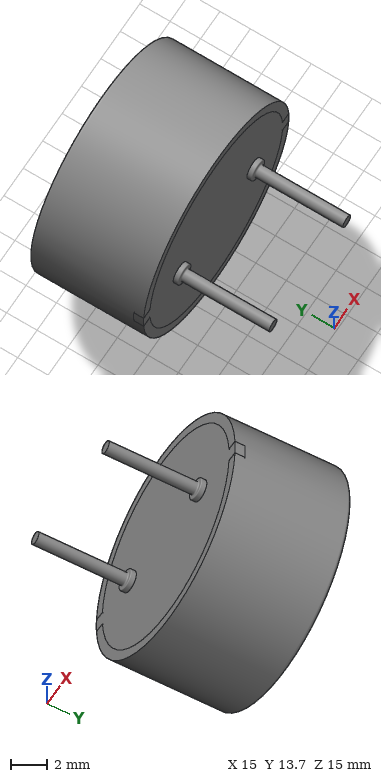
import cadquery as cq

housing_diameter = 15.0
housing_length = 7.5
rear_edge_radius = 0.2

plate_diameter = 13.7
plate_thickness = 0.65
tab_width = 1.0

pin_diameter = 0.8
pin_length = 6.15
pin_pitch = 7.6
collar_diameter = 1.35
collar_height = 0.35
collar_edge_radius = 0.05
lead_root_radius = 0.075


def make_base_plate():
    """Disc with a tab on each side, trimmed to the housing's outer cylinder."""
    disc = cq.Workplane("XZ").circle(plate_diameter / 2).extrude(-plate_thickness)
    housing_slice = cq.Workplane("XZ").circle(housing_diameter / 2).extrude(-plate_thickness)
    tab_bar = cq.Workplane("XZ").rect(housing_diameter, tab_width).extrude(-plate_thickness)
    return disc.union(tab_bar.intersect(housing_slice))


def make_housing(base_plate):
    """Cylinder with a rounded rear edge and a seat matching the base plate."""
    can = cq.Workplane("XZ").circle(housing_diameter / 2).extrude(-housing_length)
    can = can.faces(">Y").edges().fillet(rear_edge_radius)
    return can.cut(base_plate)


def make_pin(x_position):
    """Lead and collar turned together, pointing toward -Y, with a filleted lead root."""
    collar = cq.Workplane("XZ").circle(collar_diameter / 2).extrude(collar_height)
    collar = collar.edges().fillet(collar_edge_radius)
    lead = cq.Workplane("XZ").circle(pin_diameter / 2).extrude(pin_length)
    pin = collar.union(lead)

    root_y = -collar_height
    lead_radius = pin_diameter / 2
    root_fillet = (
        cq.Workplane("XY")
        .moveTo(0, root_y)
        .lineTo(lead_radius + lead_root_radius, root_y)
        .radiusArc((lead_radius, root_y - lead_root_radius), -lead_root_radius)
        .lineTo(0, root_y - lead_root_radius)
        .close()
        .revolve(360, (0, 0, 0), (0, 1, 0))
    )
    return pin.union(root_fillet).translate((x_position, 0, 0))


base_plate = make_base_plate()
housing = make_housing(base_plate)
pins = [make_pin(side * pin_pitch / 2) for side in (-1, 1)]

bodies = [housing, base_plate, *pins]
result = cq.Compound.makeCompound([body.solids().val() for body in bodies])